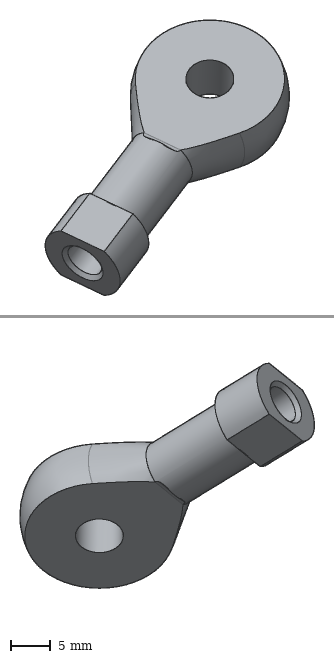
import cadquery as cq
import math


head_radius = 10.0
head_thickness = 7.0
eye_diameter = 6.0

shank_diameter = 8.8
collar_diameter = 11.0
collar_length = 7.0
collar_across_flats = 9.0
overall_length = 41.0

bore_diameter = 4.92
bore_mouth_diameter = 6.0
bore_depth = 15.0

cut_clearance = 1.0

shank_radius = shank_diameter / 2
collar_radius = collar_diameter / 2
end_y = head_radius - overall_length
collar_y = end_y + collar_length

tangent_drop = 5.45
tangent_radius = math.sqrt(head_radius**2 - tangent_drop**2)
neck_slope = tangent_drop / tangent_radius
neck_y = -tangent_drop - (tangent_radius - shank_radius) / neck_slope

head_half_thickness = head_thickness / 2
runout_radius = shank_radius - head_half_thickness


def make_body():
    """Revolve the spherical head, neck cone, shank and collar about Y."""
    arc_mid = head_radius * math.sqrt(0.5)
    return (
        cq.Workplane("XY")
        .moveTo(0, head_radius)
        .threePointArc((arc_mid, arc_mid), (tangent_radius, -tangent_drop))
        .lineTo(shank_radius, neck_y)
        .lineTo(shank_radius, collar_y)
        .lineTo(collar_radius, collar_y)
        .lineTo(collar_radius, end_y)
        .lineTo(0, end_y)
        .close()
        .revolve(360, (0, 0, 0), (0, 1, 0))
    )


def make_head_face_cutter():
    """Material above the upper head face, ending in the concave runout."""
    cutter_top = head_radius + cut_clearance
    runout_y = neck_y - runout_radius
    arc_offset = runout_radius * math.sqrt(0.5)
    return (
        cq.Workplane("YZ")
        .moveTo(cutter_top, head_half_thickness)
        .lineTo(neck_y, head_half_thickness)
        .threePointArc(
            (neck_y - arc_offset, shank_radius - arc_offset),
            (runout_y, shank_radius),
        )
        .lineTo(runout_y, cutter_top)
        .lineTo(cutter_top, cutter_top)
        .close()
        .extrude(head_radius, both=True)
    )


def make_collar_flat_cutter():
    """Material above the upper wrench flat of the collar."""
    return (
        cq.Workplane("XY", origin=(0, end_y + collar_length / 2, collar_across_flats / 2))
        .rect(collar_diameter, collar_length)
        .extrude(collar_radius)
    )


def make_eye_hole():
    """Through hole along Z."""
    return cq.Workplane("XY").circle(eye_diameter / 2).extrude(head_thickness, both=True)


def make_bore():
    """Blind bore along +Y with a 45 degree countersunk mouth."""
    bore_radius = bore_diameter / 2
    mouth_radius = bore_mouth_diameter / 2
    countersink_depth = mouth_radius - bore_radius
    return (
        cq.Workplane("XY")
        .moveTo(0, end_y)
        .lineTo(mouth_radius, end_y)
        .lineTo(bore_radius, end_y + countersink_depth)
        .lineTo(bore_radius, end_y + bore_depth)
        .lineTo(0, end_y + bore_depth)
        .close()
        .revolve(360, (0, 0, 0), (0, 1, 0))
    )


result = make_body()
for cutter in (make_head_face_cutter(), make_collar_flat_cutter()):
    result = result.cut(cutter).cut(cutter.mirror("XY"))
result = result.cut(make_eye_hole()).cut(make_bore())